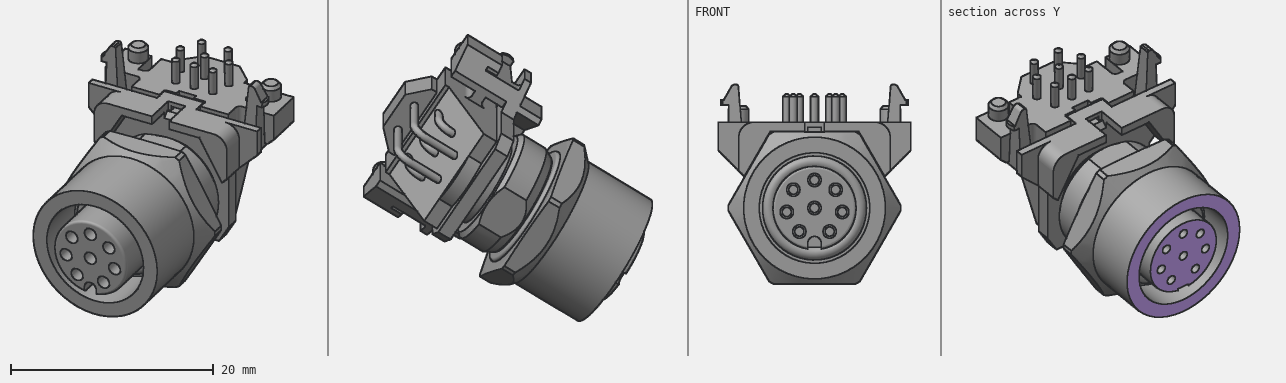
import cadquery as cq
import math


SLEEVE_DIA = 14.0
SLEEVE_FRONT = 1.0
BORE_DIA = 10.9
BORE_FLOOR = 6.7
INSERT_DIA = 8.2
INSERT_EDGE_RADIUS = 0.27
SEAL_OUTER_DIA = 10.26
SEAL_TUBE_DIA = 1.29
KEYWAY_WIDTH = 1.3
KEYWAY_CENTRE_Z = -3.45
KEYWAY_DEPTH = 2.68
KEYWAY_FLAT_Z = -3.85

HEX_FLAT_HALF = 7.5
HEX_CORNER_RADIUS = 8.52
HEX_REAR = 11.35
HEX_CORNER_FRONT = 10.0
HEX_REAR_RIM = 0.08

WASHER_DIA = 12.6
WASHER_REAR = 11.7
WASHER_EDGE_RADIUS = 0.32
NECK_DIA = 10.7
NECK_REAR = 11.8
BODY_CONE_FRONT_DIA = 10.88
BODY_DIA = 11.93
BODY_FRONT = 12.78
BODY_REAR = 15.85
BODY_REAR_CHAMFER = 0.48
BODY_FLAT_HALF = 5.5
SPIGOT_DIA = 8.9

CONTACT_CIRCLE_RADIUS = 2.75
CONTACT_PITCH = 49.1
CONTACT_MOUTH_DIA = 1.3
CONTACT_MOUTH_DEPTH = 2.15
CONTACT_HOLE_DIA = 0.9
CONTACT_HOLE_DEPTH = 3.75
PIN_DIA = 0.8
PIN_TOP = 11.25
PIN_TIP_HEIGHT = 0.27
PIN_TIP_DIA = 0.2
PIN_BEND_RADIUS = 1.5
PIN_START_Y = 18.75
PIN_ROW_PITCH = 2.1
MIDDLE_ROW_Y = 23.3

TOP_Z = 8.47
HOUSING_HALF_WIDTH = 19.0 / 2
REAR_Y = 26.8
ARM_REAR = 24.28
ARM_FRONT = 20.23
ARM_INNER_X = 6.49
BRIDGE_REAR = 21.47
BRIDGE_CORNER_RADIUS = 0.48
SHELF_CORNER_RADIUS = 0.15
ARM_BOTTOM = 3.4
SIDE_BEVEL_TOP = 5.68
CORE_HALF_WIDTH = 5.45
CORE_FRONT = 18.28
REAR_BLOCK_HALF_WIDTH = 3.9
REAR_BLOCK_TIP_HALF_WIDTH = 2.0
REAR_BLOCK_BOTTOM = 4.77
SHELF_HALF_WIDTH = 8.47
SHELF_TOP = 6.0
SLIT_TOP = 5.0

FLANGE_REAR = 17.6
FLANGE_FRONT = 16.83
FLANGE_LOWER_HALF_WIDTH = 6.3
FLANGE_TAPER_TOP = -3.55
FLANGE_BOTTOM = -5.47
WEB_SIDE_BOTTOM = -3.9
WEB_FOOT_DIA = 9.5
WEB_TOP_REAR = 23.85
WEB_FOOT_REAR = 19.78

COLLAR_FRONT = 14.3
COLLAR_HALF_WIDTH = 7.48
COLLAR_CORNER_RADIUS = 1.53
COLLAR_HEX_HALF = 7.55

NOTCH_WIDTH = 1.93
NOTCH_FLOOR = 7.48
NOTCH_LEDGE_REAR = 17.4
TONGUE_WIDTH = 4.45
TONGUE_REAR = 19.32
TONGUE_CHAMFER = 0.2
TONGUE_SIDE_GAP = 0.08
RECESS_CORNER_RADIUS = 0.15
POCKET_REAR = 19.83
WINDOW_WIDTH = 1.29
WINDOW_TOP = 7.95

PEG_DIA = 2.0
PEG_TOP = 10.08
PEG_CHAMFER_WIDTH = 0.3
PEG_CHAMFER_HEIGHT = 0.35
LATCH_TOP = 12.2
LATCH_CENTRE_Y = 19.3
LATCH_BASE_WIDTH = 1.8
LATCH_TOP_WIDTH = 1.18
LATCH_BASE_INNER_X = 7.02
LATCH_TOP_INNER_X = 7.5
BARB_TIP_X = 9.25
BARB_BOTTOM = 10.15
BARB_TOP = 10.67
BARB_TIP_RADIUS = 1.29
BARB_RAMP = [(8.95, BARB_TOP), (8.25, 11.9)]
LATCH_CROWN_ARC = [(8.07, 12.11), (7.83, LATCH_TOP)]
LATCH_CROWN_WIDTH = 0.13
LATCH_CROWN_DROP = 0.1

SIN_60 = math.sin(math.radians(60))
TAN_60 = math.tan(math.radians(60))


def block(x0, x1, y0, y1, z0, z1):
    return cq.Workplane("XY").box(x1 - x0, y1 - y0, z1 - z0, centered=False).translate((x0, y0, z0))


def centred_block(width, y0, y1, z0, z1):
    return block(-width / 2, width / 2, y0, y1, z0, z1)


def both_sides(shape):
    return shape.union(shape.mirror("YZ"))


def along_y(outline, y0, y1):
    """Extrude a closed (x, z) outline from y0 to y1."""
    return cq.Workplane("XZ", origin=(0, y0, 0)).polyline(outline).close().extrude(y0 - y1)


def cylinder_y(diameter, y0, y1, x=0, z=0):
    return cq.Workplane("XZ", origin=(x, y0, z)).circle(diameter / 2).extrude(y0 - y1)


def turned_y(profile):
    """Revolve a closed (radius, y) profile about the plug axis."""
    return cq.Workplane("XY").polyline(profile).close().revolve(360, (0, 0, 0), (0, 1, 0))


def hexagon_y(flat_half, y0, y1):
    """Hexagonal prism with horizontal flats above and below the axis."""
    return cq.Workplane("XZ", origin=(0, y0, 0)).polygon(6, 2 * flat_half / SIN_60).extrude(y0 - y1)


def mirrored_outline(right_half):
    return right_half + [(-x, z) for x, z in reversed(right_half)]


def contact_places():
    """(x, z) of the seven contacts on the circle and the central one."""
    places = [(0, 0)]
    for index in range(-3, 4):
        angle = math.radians(90 + index * CONTACT_PITCH)
        places.append((CONTACT_CIRCLE_RADIUS * math.cos(angle), CONTACT_CIRCLE_RADIUS * math.sin(angle)))
    return places


def union_nut():
    sleeve_radius = SLEEVE_DIA / 2
    cone_front = HEX_CORNER_FRONT - (HEX_CORNER_RADIUS - sleeve_radius)
    envelope = turned_y([
        (0, cone_front),
        (sleeve_radius, cone_front),
        (HEX_CORNER_RADIUS, HEX_CORNER_FRONT),
        (HEX_CORNER_RADIUS, HEX_REAR - HEX_REAR_RIM),
        (HEX_FLAT_HALF, HEX_REAR),
        (0, HEX_REAR),
    ])
    nut = hexagon_y(HEX_FLAT_HALF, cone_front, HEX_REAR).intersect(envelope)
    nut = nut.union(cylinder_y(SLEEVE_DIA, SLEEVE_FRONT, cone_front))
    return nut.cut(cylinder_y(BORE_DIA, SLEEVE_FRONT, BORE_FLOOR))


def insert():
    body = cylinder_y(INSERT_DIA, 0, BORE_FLOOR).faces("<Y").edges().fillet(INSERT_EDGE_RADIUS)
    keyway = cylinder_y(KEYWAY_WIDTH, 0, KEYWAY_DEPTH, z=KEYWAY_CENTRE_Z)
    keyway = keyway.union(centred_block(KEYWAY_WIDTH, 0, KEYWAY_DEPTH, -INSERT_DIA, KEYWAY_CENTRE_Z))
    flat = centred_block(KEYWAY_WIDTH, 0, BORE_FLOOR, -INSERT_DIA, KEYWAY_FLAT_Z)
    body = body.cut(keyway).cut(flat)
    for x, z in contact_places():
        body = body.cut(cylinder_y(CONTACT_MOUTH_DIA, 0, CONTACT_MOUTH_DEPTH, x, z))
        body = body.cut(cylinder_y(CONTACT_HOLE_DIA, 0, CONTACT_HOLE_DEPTH, x, z))
    return body


def seal_ring():
    """Sealing ring around the insert, half sunk in the bore floor."""
    centre_radius = (SEAL_OUTER_DIA - SEAL_TUBE_DIA) / 2
    tube = cq.Workplane("XY").center(centre_radius, BORE_FLOOR).circle(SEAL_TUBE_DIA / 2)
    return tube.revolve(360, (-centre_radius, 0, 0), (-centre_radius, 1, 0))


def washer():
    disc = cylinder_y(WASHER_DIA, HEX_REAR, WASHER_REAR)
    return disc.faces(">Y").edges().fillet(WASHER_EDGE_RADIUS)


def threaded_body():
    radius = BODY_DIA / 2
    turned = turned_y([
        (0, WASHER_REAR),
        (NECK_DIA / 2, WASHER_REAR),
        (NECK_DIA / 2, NECK_REAR),
        (BODY_CONE_FRONT_DIA / 2, NECK_REAR),
        (radius, BODY_FRONT),
        (radius, BODY_REAR - BODY_REAR_CHAMFER),
        (radius - BODY_REAR_CHAMFER, BODY_REAR),
        (0, BODY_REAR),
    ])
    flats = centred_block(BODY_DIA, WASHER_REAR, BODY_REAR, -BODY_FLAT_HALF, BODY_FLAT_HALF)
    return turned.intersect(flats).union(cylinder_y(SPIGOT_DIA, BODY_REAR, FLANGE_FRONT))


def bevel_height(x):
    """Height of the 45 degree lower side slope at a given distance from the middle."""
    return SIDE_BEVEL_TOP - (HOUSING_HALF_WIDTH - x)


def side_bevel():
    """Envelope of the housing sides, sloping inwards below the bevel edge."""
    outline = mirrored_outline([
        (HOUSING_HALF_WIDTH, TOP_Z),
        (HOUSING_HALF_WIDTH, SIDE_BEVEL_TOP),
        (FLANGE_LOWER_HALF_WIDTH, bevel_height(FLANGE_LOWER_HALF_WIDTH)),
    ])
    return along_y(outline, COLLAR_FRONT, ARM_REAR)


def inside_corner(x, y, y_side, radius, z0, z1):
    """Fill of an upright inside corner at (x, y), open towards +X and the given side in Y."""
    far_x = x + radius
    far_y = y + y_side * radius
    inset = radius * math.sqrt(0.5)
    fill = cq.Workplane("XY", origin=(0, 0, z0)).moveTo(x, y).lineTo(far_x, y)
    fill = fill.threePointArc((far_x - inset, far_y - y_side * inset), (x, far_y)).close()
    return fill.extrude(z1 - z0)


def core():
    """Centre of the housing with its sloping web and the tapered rear block."""
    side_outline = [
        (CORE_FRONT, TOP_Z),
        (ARM_REAR, TOP_Z),
        (ARM_REAR, ARM_BOTTOM),
        (WEB_TOP_REAR, ARM_BOTTOM),
        (WEB_FOOT_REAR, WEB_SIDE_BOTTOM),
        (CORE_FRONT, WEB_SIDE_BOTTOM),
    ]
    body = cq.Workplane("YZ").polyline(side_outline).close().extrude(CORE_HALF_WIDTH, both=True)
    body = body.union(cylinder_y(WEB_FOOT_DIA, CORE_FRONT, WEB_FOOT_REAR))
    taper = REAR_BLOCK_HALF_WIDTH - REAR_BLOCK_TIP_HALF_WIDTH
    plan = mirrored_outline([
        (REAR_BLOCK_HALF_WIDTH, ARM_REAR),
        (REAR_BLOCK_HALF_WIDTH, REAR_Y - taper),
        (REAR_BLOCK_TIP_HALF_WIDTH, REAR_Y),
    ])
    rear_block = cq.Workplane("XY", origin=(0, 0, REAR_BLOCK_BOTTOM)).polyline(plan).close()
    return body.union(rear_block.extrude(TOP_Z - REAR_BLOCK_BOTTOM))


def bridge():
    """Link between core and arm, rounded into the core on both sides."""
    link = block(CORE_HALF_WIDTH, ARM_INNER_X, ARM_FRONT, BRIDGE_REAR, ARM_BOTTOM, TOP_Z)
    for edge_y, y_side in ((ARM_FRONT, -1), (BRIDGE_REAR, 1)):
        link = link.union(
            inside_corner(CORE_HALF_WIDTH, edge_y, y_side, BRIDGE_CORNER_RADIUS, ARM_BOTTOM, TOP_Z)
        )
    return link


def arms():
    """Side arms that carry the pegs, and the lower shelves that carry the latches."""
    arm = block(ARM_INNER_X, HOUSING_HALF_WIDTH, ARM_FRONT, ARM_REAR, ARM_BOTTOM, TOP_Z)
    slit = block(SHELF_HALF_WIDTH, HOUSING_HALF_WIDTH, ARM_FRONT, BRIDGE_REAR, ARM_BOTTOM, SLIT_TOP)
    shelf = block(ARM_INNER_X, SHELF_HALF_WIDTH, CORE_FRONT, ARM_FRONT, ARM_BOTTOM, SHELF_TOP)
    shelf_corner = inside_corner(
        SHELF_HALF_WIDTH, FLANGE_REAR, 1, SHELF_CORNER_RADIUS, ARM_BOTTOM, SHELF_TOP
    )
    arm = arm.cut(slit).union(shelf).union(shelf_corner)
    return both_sides(arm.intersect(side_bevel()).union(bridge()))


def flange():
    foot_half_width = FLANGE_LOWER_HALF_WIDTH - (FLANGE_TAPER_TOP - FLANGE_BOTTOM) / TAN_60
    lower_outline = [
        (FLANGE_LOWER_HALF_WIDTH, bevel_height(FLANGE_LOWER_HALF_WIDTH)),
        (FLANGE_LOWER_HALF_WIDTH, FLANGE_TAPER_TOP),
        (foot_half_width, FLANGE_BOTTOM),
    ]
    bevel_edge = (HOUSING_HALF_WIDTH, SIDE_BEVEL_TOP)
    front = mirrored_outline([(HOUSING_HALF_WIDTH, TOP_Z), bevel_edge] + lower_outline)
    shelf_edge = (SHELF_HALF_WIDTH, bevel_height(SHELF_HALF_WIDTH))
    rear = mirrored_outline([(SHELF_HALF_WIDTH, SHELF_TOP), shelf_edge] + lower_outline)
    return along_y(front, FLANGE_FRONT, FLANGE_REAR).union(along_y(rear, FLANGE_REAR, CORE_FRONT))


def collar():
    """Hood over the threaded body, open below and hexagonal inside."""
    hood = centred_block(2 * COLLAR_HALF_WIDTH, COLLAR_FRONT, FLANGE_FRONT, 0, TOP_Z)
    hood = hood.edges("|Y and >Z").fillet(COLLAR_CORNER_RADIUS)
    hood = hood.cut(hexagon_y(COLLAR_HEX_HALF, COLLAR_FRONT, FLANGE_FRONT))
    return hood.intersect(side_bevel())


def tongue():
    """Flange tongue in the core, with its upper rear edge bevelled."""
    body = centred_block(TONGUE_WIDTH, FLANGE_REAR, TONGUE_REAR, SHELF_TOP, TOP_Z)
    return body.edges(">Y and >Z").chamfer(TONGUE_CHAMFER)


def tongue_recess():
    """Room beside the tongue and the pocket behind it."""
    recess_width = TONGUE_WIDTH + 2 * TONGUE_SIDE_GAP
    recess = centred_block(recess_width, CORE_FRONT, TONGUE_REAR, SHELF_TOP, TOP_Z)
    recess = recess.edges("|Z and >Y").fillet(RECESS_CORNER_RADIUS)
    return recess.union(centred_block(NOTCH_WIDTH, TONGUE_REAR, POCKET_REAR, SHELF_TOP, TOP_Z))


def notch():
    """Slot in the collar roof, with a sloping ledge on the flange and a window through the tongue."""
    ledge_run = NOTCH_LEDGE_REAR - FLANGE_FRONT
    side_outline = [
        (COLLAR_FRONT, TOP_Z),
        (FLANGE_REAR, TOP_Z),
        (FLANGE_REAR, NOTCH_FLOOR),
        (NOTCH_LEDGE_REAR, NOTCH_FLOOR),
        (FLANGE_FRONT, NOTCH_FLOOR - ledge_run),
        (COLLAR_FRONT, NOTCH_FLOOR - ledge_run),
    ]
    slot = cq.Workplane("YZ").polyline(side_outline).close().extrude(NOTCH_WIDTH / 2, both=True)
    return slot.union(centred_block(WINDOW_WIDTH, FLANGE_REAR, TONGUE_REAR, NOTCH_FLOOR, WINDOW_TOP))


def pegs():
    radius = PEG_DIA / 2
    peg = cq.Workplane("XY", origin=(COLLAR_HALF_WIDTH, MIDDLE_ROW_Y, TOP_Z)).circle(radius)
    peg = peg.extrude(PEG_TOP - TOP_Z).faces(">Z").chamfer(PEG_CHAMFER_HEIGHT, PEG_CHAMFER_WIDTH)
    return both_sides(peg)


def latches():
    """Snap latches: a barbed outline, tapered in Y, with a barb tip rounded in plan."""
    crown_inner_x = LATCH_CROWN_ARC[-1][0] - LATCH_CROWN_WIDTH
    outline = cq.Workplane("XZ").moveTo(LATCH_BASE_INNER_X, SHELF_TOP)
    outline = outline.lineTo(SHELF_HALF_WIDTH, SHELF_TOP).lineTo(SHELF_HALF_WIDTH, BARB_BOTTOM)
    outline = outline.lineTo(BARB_TIP_X, BARB_BOTTOM).lineTo(BARB_TIP_X, BARB_TOP)
    for point in BARB_RAMP:
        outline = outline.lineTo(*point)
    outline = outline.threePointArc(*LATCH_CROWN_ARC).lineTo(crown_inner_x, LATCH_TOP)
    outline = outline.lineTo(LATCH_TOP_INNER_X, LATCH_TOP - LATCH_CROWN_DROP).close()
    barbed = outline.extrude(-REAR_Y)

    base_front = LATCH_CENTRE_Y - LATCH_BASE_WIDTH / 2
    base_rear = LATCH_CENTRE_Y + LATCH_BASE_WIDTH / 2
    taper = [
        (base_front, SHELF_TOP),
        (base_rear, SHELF_TOP),
        (LATCH_CENTRE_Y + LATCH_TOP_WIDTH / 2, LATCH_TOP),
        (LATCH_CENTRE_Y - LATCH_TOP_WIDTH / 2, LATCH_TOP),
    ]
    tapered = cq.Workplane("YZ").polyline(taper).close().extrude(HOUSING_HALF_WIDTH)

    tip_chord = math.sqrt(BARB_TIP_RADIUS ** 2 - (LATCH_BASE_WIDTH / 2) ** 2)
    arc_end_x = BARB_TIP_X - BARB_TIP_RADIUS + tip_chord
    plan = cq.Workplane("XY", origin=(0, 0, SHELF_TOP)).moveTo(LATCH_BASE_INNER_X, base_front)
    plan = plan.lineTo(arc_end_x, base_front)
    plan = plan.threePointArc((BARB_TIP_X, LATCH_CENTRE_Y), (arc_end_x, base_rear))
    plan = plan.lineTo(LATCH_BASE_INNER_X, base_rear).close().extrude(LATCH_TOP - SHELF_TOP)
    return both_sides(barbed.intersect(tapered).intersect(plan))


def pin(x, z, y):
    """Contact tail: straight back along Y, bent upwards, ending in a pointed tip."""
    radius = PIN_DIA / 2
    path = cq.Workplane("YZ", origin=(x, 0, 0)).moveTo(PIN_START_Y, z).lineTo(y - PIN_BEND_RADIUS, z)
    path = path.radiusArc((y, z + PIN_BEND_RADIUS), -PIN_BEND_RADIUS).lineTo(y, PIN_TOP - PIN_TIP_HEIGHT)
    tail = cq.Workplane("XZ", origin=(x, PIN_START_Y, z)).circle(radius).sweep(path)
    cone = cq.Solid.makeCone(
        radius, PIN_TIP_DIA / 2, PIN_TIP_HEIGHT, cq.Vector(x, y, PIN_TOP - PIN_TIP_HEIGHT)
    )
    return tail.union(cq.Workplane(cone))


def pins():
    """Tails of all contacts: low ones end in the rear row, high ones in the front row."""
    row_limit = CONTACT_CIRCLE_RADIUS / 2
    tails = []
    for x, z in contact_places():
        row = 0
        if z > row_limit:
            row = -1
        elif z < -row_limit:
            row = 1
        tails.append(pin(x, z, MIDDLE_ROW_Y + row * PIN_ROW_PITCH))
    return tails


housing = core().cut(tongue_recess())
for portion in (arms(), flange(), collar(), tongue()):
    housing = housing.union(portion)
housing = housing.cut(notch()).union(pegs()).union(latches())
for tail in pins():
    housing = housing.union(tail)

result = union_nut().union(insert()).union(seal_ring())
result = result.union(washer()).union(threaded_body()).union(housing)